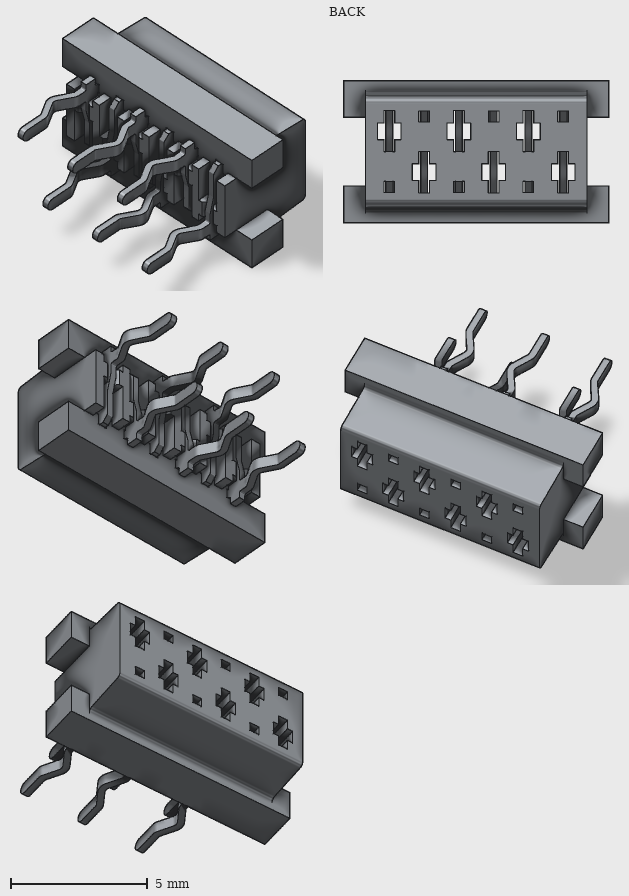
import cadquery as cq
import math


FLANGE_LENGTH = 9.7
FLANGE_HEIGHT = 5.2
FLANGE_FRONT = 0.6
FLANGE_BACK = 2.22
CORE_LENGTH = 8.11
CORE_HALF_HEIGHT = 1.25
HOUSING_BACK = 4.21
SHROUD_ROOT_HALF_HEIGHT = 2.06
SHROUD_BACK_HALF_HEIGHT = 1.94
SHROUD_FILLET = 0.19

CONTACT_COUNT = 6
PITCH = 1.27
CONTACT_THICKNESS = 0.26
BLADE_BACK = FLANGE_BACK
SHOULDER_TOP = 1.82
SHOULDER_DEPTH = 0.485
ARM_TOP = 1.48
LEG_BOTTOM = -1.5
LEG_FRONT = 0.17
LEG_CHAMFER = 0.25
LEG_FILLET = 0.1
RAMP_BOTTOM = -0.14
RAMP_TOP = 0.55
TAIL_CENTER_Z = 1.28
TAIL_HEIGHT = 0.51
TAIL_TIP = -3.29
CONTACT_CORNER_FILLET = 0.09

KINK_ANGLE = math.radians(30)
KINK_CENTER_Y = -1.24
KINK_OFFSET = 0.48
KINK_PEAK_RADIUS = 0.26
KINK_FOOT_RADIUS = 0.16
KINK_DIRECTIONS = (-1, -1, 1, 1, -1, -1)

POCKET_WIDTH = 0.92
BRIDGE_BOTTOM = 0.24
BRIDGE_TOP = 0.93
GROOVE_WIDTH = 0.58
SLOT_WIDTH = 0.39
LEG_SLOT_TOP = 0.0
ARM_SLOT_BOTTOM = 1.09
WINDOW_WIDTH = 0.85
WINDOW_BOTTOM = -1.05
WINDOW_TOP = -0.45


def column_x(index):
    """X position of a contact in the row."""
    return (index - (CONTACT_COUNT - 1) / 2) * PITCH


def tail_on_top(index):
    """Contacts alternate: even ones have their tail on the +Z side."""
    return index % 2 == 0


def place(body, index):
    """Moves a body made at X = 0 to its column, turned over if its tail is below."""
    if not tail_on_top(index):
        body = body.mirror("XY")
    return body.translate((column_x(index), 0, 0))


def block(width, y_range, z_range):
    """A box centred on X = 0."""
    depth = y_range[1] - y_range[0]
    height = z_range[1] - z_range[0]
    return cq.Workplane("XY").box(width, depth, height, centered=(True, False, False)).translate(
        (0, y_range[0], z_range[0])
    )


def round_edge(body, direction, point, radius):
    """Fillets the edge of the given direction nearest to a point."""
    edge = body.edges(direction).edges(cq.selectors.NearestToPointSelector(point))
    return edge.fillet(radius)


def housing_shell():
    core = block(CORE_LENGTH, (0, HOUSING_BACK), (-CORE_HALF_HEIGHT, CORE_HALF_HEIGHT))
    flange = block(FLANGE_LENGTH, (FLANGE_FRONT, FLANGE_BACK), (-FLANGE_HEIGHT / 2, FLANGE_HEIGHT / 2))
    end_notch = block(FLANGE_LENGTH, (FLANGE_FRONT, FLANGE_BACK), (-CORE_HALF_HEIGHT, CORE_HALF_HEIGHT))
    shroud = (
        cq.Workplane("YZ")
        .polyline(
            [
                (FLANGE_BACK, -SHROUD_ROOT_HALF_HEIGHT),
                (HOUSING_BACK, -SHROUD_BACK_HALF_HEIGHT),
                (HOUSING_BACK, SHROUD_BACK_HALF_HEIGHT),
                (FLANGE_BACK, SHROUD_ROOT_HALF_HEIGHT),
            ]
        )
        .close()
        .extrude(CORE_LENGTH / 2, both=True)
    )
    shell = flange.cut(end_notch).union(core).union(shroud)
    for side in (-1, 1):
        shell = round_edge(shell, "|X", (0, HOUSING_BACK, side * SHROUD_BACK_HALF_HEIGHT), SHROUD_FILLET)
        shell = round_edge(shell, "|X", (0, FLANGE_BACK, side * SHROUD_ROOT_HALF_HEIGHT), SHROUD_FILLET)
    return shell


def contact_cavity():
    """Everything cut from the housing around one contact."""
    whole_depth = (0, HOUSING_BACK)
    rib_depth = (0, FLANGE_FRONT)
    lower_pocket = block(POCKET_WIDTH, rib_depth, (-CORE_HALF_HEIGHT, BRIDGE_BOTTOM))
    upper_pocket = block(POCKET_WIDTH, rib_depth, (BRIDGE_TOP, CORE_HALF_HEIGHT))
    leg_slot = block(SLOT_WIDTH, whole_depth, (LEG_BOTTOM, LEG_SLOT_TOP))
    window = block(WINDOW_WIDTH, whole_depth, (WINDOW_BOTTOM, WINDOW_TOP))
    blade_slit = block(CONTACT_THICKNESS, (0, BLADE_BACK), (LEG_SLOT_TOP, ARM_SLOT_BOTTOM))
    arm_slot = block(SLOT_WIDTH, whole_depth, (ARM_SLOT_BOTTOM, ARM_TOP))
    groove = (
        cq.Workplane("XY", origin=(0, 0, BRIDGE_BOTTOM))
        .polyline([(-GROOVE_WIDTH / 2, 0), (GROOVE_WIDTH / 2, 0), (0, GROOVE_WIDTH / 2)])
        .close()
        .extrude(BRIDGE_TOP - BRIDGE_BOTTOM)
    )
    cavity = lower_pocket.union(upper_pocket).union(leg_slot).union(window)
    return cavity.union(blade_slit).union(arm_slot).union(groove)


def make_housing():
    housing = housing_shell()
    for index in range(CONTACT_COUNT):
        housing = housing.cut(place(contact_cavity(), index))
    return housing


def contact_side_profile():
    """Blade and tail as seen along X, extruded wide enough to hold the kink."""
    tail_radius = TAIL_HEIGHT / 2
    tail_bottom = TAIL_CENTER_Z - tail_radius
    tail_top = TAIL_CENTER_Z + tail_radius
    chamfer_end = LEG_BOTTOM + LEG_CHAMFER
    profile = (
        cq.Workplane("YZ")
        .moveTo(BLADE_BACK, LEG_BOTTOM)
        .lineTo(LEG_FRONT + LEG_CHAMFER, LEG_BOTTOM)
        .lineTo(LEG_FRONT, chamfer_end)
        .lineTo(LEG_FRONT, RAMP_BOTTOM)
        .lineTo(0, RAMP_TOP)
        .lineTo(0, tail_bottom)
        .lineTo(TAIL_TIP + tail_radius, tail_bottom)
        .tangentArcPoint((TAIL_TIP, TAIL_CENTER_Z), relative=False)
        .tangentArcPoint((TAIL_TIP + tail_radius, tail_top), relative=False)
        .lineTo(0, tail_top)
        .lineTo(0, SHOULDER_TOP)
        .lineTo(SHOULDER_DEPTH, SHOULDER_TOP)
        .lineTo(SHOULDER_DEPTH, ARM_TOP)
        .lineTo(BLADE_BACK, ARM_TOP)
        .close()
        .extrude(KINK_OFFSET + CONTACT_THICKNESS, both=True)
    )
    profile = round_edge(profile, "|X", (0, LEG_FRONT, chamfer_end), LEG_FILLET)
    profile = round_edge(profile, "|X", (0, 0, tail_bottom), CONTACT_CORNER_FILLET)
    profile = round_edge(profile, "|X", (0, 0, tail_top), CONTACT_CORNER_FILLET)
    return round_edge(profile, "|X", (0, SHOULDER_DEPTH, ARM_TOP), CONTACT_CORNER_FILLET)


def contact_strip(direction):
    """Strip as seen along Z: straight, with one kink towards the given X direction."""
    half = CONTACT_THICKNESS / 2
    half_run = KINK_OFFSET / math.tan(KINK_ANGLE)
    corner_shift = half * math.tan(KINK_ANGLE / 2)
    peak_shift = half / math.cos(KINK_ANGLE)

    def edge_line(side):
        """One long edge of the strip; side is +1 on the outside of the peak, -1 inside."""
        x_straight = direction * side * half
        x_peak = direction * (KINK_OFFSET + side * peak_shift)
        reach = half_run + side * corner_shift
        return [
            (x_straight, BLADE_BACK),
            (x_straight, KINK_CENTER_Y + reach),
            (x_peak, KINK_CENTER_Y),
            (x_straight, KINK_CENTER_Y - reach),
            (x_straight, TAIL_TIP),
        ]

    outside = edge_line(1)
    inside = edge_line(-1)
    strip = (
        cq.Workplane("XY")
        .polyline(outside + inside[::-1])
        .close()
        .extrude(SHOULDER_TOP, both=True)
    )
    foot_outer_radius = KINK_FOOT_RADIUS + CONTACT_THICKNESS
    peak_outer_radius = KINK_PEAK_RADIUS + CONTACT_THICKNESS
    outside_radii = (KINK_FOOT_RADIUS, peak_outer_radius, KINK_FOOT_RADIUS)
    inside_radii = (foot_outer_radius, KINK_PEAK_RADIUS, foot_outer_radius)
    bends = list(zip(outside[1:-1], outside_radii)) + list(zip(inside[1:-1], inside_radii))
    for (x, y), radius in bends:
        strip = round_edge(strip, "|Z", (x, y, 0), radius)
    return strip


def make_contact(index):
    contact = contact_side_profile().intersect(contact_strip(KINK_DIRECTIONS[index]))
    return place(contact, index)


housing = make_housing()
contacts = [make_contact(index) for index in range(CONTACT_COUNT)]

result = cq.Compound.makeCompound(
    [housing.solids().val(), *[contact.solids().val() for contact in contacts]]
)